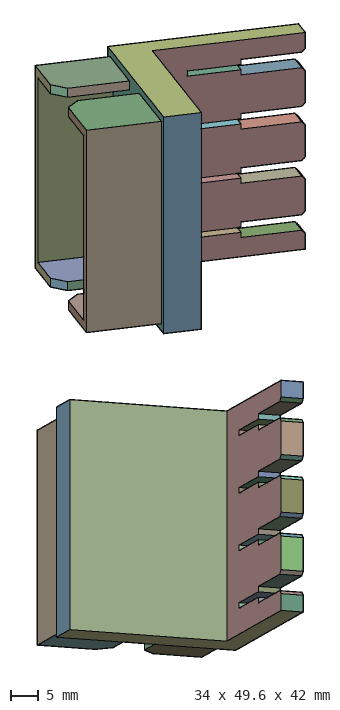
import cadquery as cq

width = 34.0
depth = 49.65
height = 42.0

frame_depth = 14.0
frame_margin = 1.4
frame_wall = 1.75
gap_width = 5.95
left_lip_length = 11.75
lip_chamfer = 2.5

base_thickness = 7.05
plate_thickness = 4.2

slot_count = 4
slot_pitch = height / slot_count
mouth_width = 3.0
mouth_depth = 12.0
slit_width = 1.0
slit_depth = 22.05
tip_chamfer = 0.7

base_front = frame_depth
base_back = base_front + base_thickness


def box(x0, x1, y0, y1, z0, z1):
    """Block between two opposite corners."""
    return cq.Workplane("XY").box(x1 - x0, y1 - y0, z1 - z0, centered=False).translate((x0, y0, z0))


def make_frame():
    """Rectangular tube split by a central gap, with the lip corners cut off."""
    x0 = frame_margin
    x1 = width - frame_margin
    z0 = frame_margin
    z1 = height - frame_margin
    outer = box(x0, x1, 0, base_front, z0, z1)
    inner = box(
        x0 + frame_wall, x1 - frame_wall, 0, base_front, z0 + frame_wall, z1 - frame_wall
    )
    gap_left = x0 + left_lip_length
    gap_right = gap_left + gap_width
    gap = (
        cq.Workplane("XY")
        .moveTo(gap_left - lip_chamfer, 0)
        .lineTo(gap_left, lip_chamfer)
        .lineTo(gap_left, base_front)
        .lineTo(gap_right, base_front)
        .lineTo(gap_right, lip_chamfer)
        .lineTo(gap_right + lip_chamfer, 0)
        .close()
        .extrude(height)
    )
    return outer.cut(inner).cut(gap)


def make_slot(z_center):
    """Slot with a chamfered wide mouth and a narrow slit, cut through the plate."""
    half_mouth = mouth_width / 2
    half_slit = slit_width / 2
    mouth_end = depth - mouth_depth
    slit_end = depth - slit_depth
    upper_side = [
        (slit_end, half_slit),
        (mouth_end, half_slit),
        (mouth_end, half_mouth),
        (depth - tip_chamfer, half_mouth),
        (depth, half_mouth + tip_chamfer),
    ]
    lower_side = [(y, -z) for y, z in reversed(upper_side)]
    outline = upper_side + lower_side
    return cq.Workplane("YZ").polyline(outline).close().extrude(plate_thickness).translate((0, 0, z_center))


base = box(0, width, base_front, base_back, 0, height)
plate = box(0, plate_thickness, base_front, depth, 0, height)
result = base.union(plate).union(make_frame())

for index in range(slot_count):
    result = result.cut(make_slot((index + 0.5) * slot_pitch))